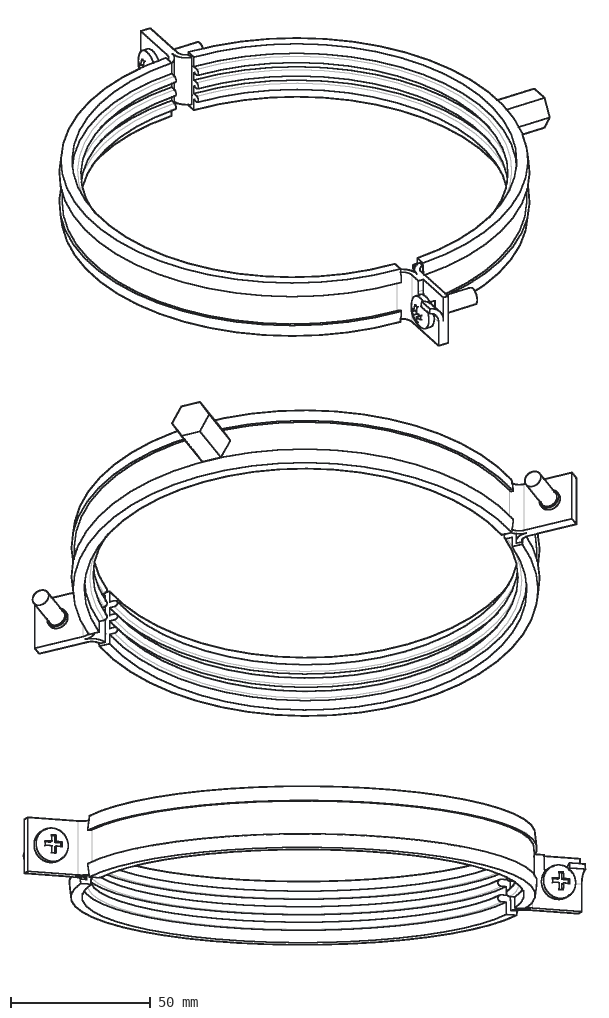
import cadquery as cq
import math

length = 210.0
depth = 185.8
height = 22.9

ring_offset = 0.8
band_outer_radius = 82.3
band_thickness = 2.0
band_half_width = 9.9
bend_radius = 4.0
band_inner_radius = band_outer_radius - band_thickness
bend_end_y = band_thickness + bend_radius
bend_center_x = math.sqrt(band_outer_radius**2 - (bend_end_y - ring_offset)**2) + bend_radius

lip_radius = 83.4
lip_edge_radius = 82.7
channel_half_width = 6.0
liner_wide_side = height / 2
liner_narrow_side = 11.0
liner_inner_radius = 78.8
liner_end_y = 4.6
rib_tip_radius = 75.5
rib_nose_radius = 1.3
rib_spacing = 5.7
rib_nose_center = rib_tip_radius + rib_nose_radius

screw_positions = (-96.5, 95.8)
shank_diameter = 6.3
shank_end_y = 17.6
collar_diameter = 7.5
collar_end_y = 3.4
head_diameter = 12.2
head_edge_y = -4.2
head_top_y = -6.5
recess_span = 6.5
recess_arm_width = 1.7
recess_depth = 2.0

stub_across_flats = 12.5
stub_center_z = 1.0
stub_end_y = depth - lip_radius - ring_offset
stub_root_y = ring_offset + (band_inner_radius + band_outer_radius) / 2

slot_left_x = 90.7
slot_right_x = 99.1
slot_round_z = 5.5
tab_bend_z = 0.2
tab_bend_radius = 6.7
tab_bend_angle = 80.0


def half_space(side, start_y):
    """Block covering everything beyond start_y on the given side of the split plane."""
    size = 2 * length
    return cq.Workplane("XY").box(size, size, size).translate((0, side * (start_y + size / 2), 0))


def plate(outline):
    """Prism of the band width, centered on Z, from an XY outline."""
    return outline.extrude(band_half_width, both=True)


def half_band(side):
    """Half ring with its two bends and ears; side is +1 for +Y and -1 for -Y."""
    ring = plate(cq.Workplane("XY").circle(band_outer_radius).circle(band_inner_radius))
    band = ring.translate((0, ring_offset, 0)).intersect(half_space(1, bend_end_y))
    outer_bend = bend_radius + band_thickness
    diagonal = math.sqrt(0.5)
    ear_and_bend = plate(
        cq.Workplane("XY")
        .moveTo(length / 2, 0)
        .lineTo(bend_center_x, 0)
        .threePointArc(
            (bend_center_x - outer_bend * diagonal, bend_end_y - outer_bend * diagonal),
            (bend_center_x - outer_bend, bend_end_y),
        )
        .lineTo(bend_center_x - bend_radius, bend_end_y)
        .threePointArc(
            (bend_center_x - bend_radius * diagonal, bend_end_y - bend_radius * diagonal),
            (bend_center_x, band_thickness),
        )
        .lineTo(length / 2, band_thickness)
        .close()
    )
    band = band.union(ear_and_bend).union(ear_and_bend.mirror("YZ"))
    return band if side > 0 else band.mirror("XZ")


def half_liner(side):
    """Half ring of lining; the taller lip is at the top on -Y and at the bottom on +Y."""
    profile = (
        cq.Workplane("XZ")
        .moveTo(liner_inner_radius, -liner_narrow_side)
        .lineTo(lip_edge_radius, -liner_narrow_side)
        .lineTo(lip_radius, -channel_half_width)
        .lineTo(band_inner_radius, -channel_half_width)
        .lineTo(band_inner_radius, channel_half_width)
        .lineTo(lip_radius, channel_half_width)
        .lineTo(lip_edge_radius, liner_wide_side)
        .lineTo(liner_inner_radius, liner_wide_side)
        .close()
    )
    liner = profile.revolve(360, (0, 0, 0), (0, 1, 0))
    rib_root = (liner_inner_radius + band_inner_radius) / 2
    for index in (-1, 0, 1):
        rib_z = index * rib_spacing
        rib = (
            cq.Workplane("XZ")
            .moveTo(rib_root, rib_z - rib_nose_radius)
            .lineTo(rib_nose_center, rib_z - rib_nose_radius)
            .threePointArc((rib_tip_radius, rib_z), (rib_nose_center, rib_z + rib_nose_radius))
            .lineTo(rib_root, rib_z + rib_nose_radius)
            .close()
            .revolve(360, (0, 0, 0), (0, 1, 0))
        )
        liner = liner.union(rib)
    if side > 0:
        liner = liner.mirror("XY")
    liner = liner.translate((0, side * ring_offset, 0))
    return liner.intersect(half_space(side, liner_end_y))


def cut_slot(band):
    """Cut the round-bottomed slot, and all of the ear corner above the tab bend."""
    slot_center_x = (slot_left_x + slot_right_x) / 2
    slot_radius = (slot_right_x - slot_left_x) / 2
    slot = (
        cq.Workplane("XZ")
        .moveTo(slot_left_x, band_half_width)
        .lineTo(slot_left_x, slot_round_z)
        .threePointArc((slot_center_x, slot_round_z - slot_radius), (slot_right_x, slot_round_z))
        .lineTo(slot_right_x, tab_bend_z)
        .lineTo(length / 2, tab_bend_z)
        .lineTo(length / 2, band_half_width)
        .close()
        .extrude(band_thickness)
    )
    return band.cut(slot)


def curled_tab():
    """Tab that curls up and forward out of the front ear, beside the slot."""
    center_y = -tab_bend_radius
    inner_radius = tab_bend_radius - band_thickness
    bend = math.radians(tab_bend_angle)

    def on_bend(radius, angle):
        y = center_y + radius * math.cos(angle)
        z = tab_bend_z + radius * math.sin(angle)
        return (y, z)

    return (
        cq.Workplane("YZ", origin=(slot_right_x, 0, 0))
        .moveTo(*on_bend(tab_bend_radius, 0))
        .threePointArc(on_bend(tab_bend_radius, bend / 2), on_bend(tab_bend_radius, bend))
        .lineTo(*on_bend(inner_radius, bend))
        .threePointArc(on_bend(inner_radius, bend / 2), on_bend(inner_radius, 0))
        .close()
        .extrude(length / 2 - slot_right_x)
    )


def screw(x):
    """Domed cross-recess screw along Y, with a collar behind the ears."""
    head_radius = head_diameter / 2
    dome_height = head_edge_y - head_top_y
    dome_radius = (head_radius**2 + dome_height**2) / (2 * dome_height)
    mid_radius = head_radius / 2
    mid_y = head_top_y + dome_radius - math.sqrt(dome_radius**2 - mid_radius**2)
    body = (
        cq.Workplane("XY")
        .moveTo(0, head_top_y)
        .threePointArc((mid_radius, mid_y), (head_radius, head_edge_y))
        .lineTo(head_radius, -band_thickness)
        .lineTo(shank_diameter / 2, -band_thickness)
        .lineTo(shank_diameter / 2, band_thickness)
        .lineTo(collar_diameter / 2, band_thickness)
        .lineTo(collar_diameter / 2, collar_end_y)
        .lineTo(shank_diameter / 2, collar_end_y)
        .lineTo(shank_diameter / 2, shank_end_y)
        .lineTo(0, shank_end_y)
        .close()
        .revolve(360, (0, 0, 0), (0, 1, 0))
    )
    recess = (
        cq.Workplane("XZ", origin=(0, head_top_y + recess_depth, 0))
        .rect(recess_span, recess_arm_width)
        .extrude(recess_depth)
    )
    body = body.cut(recess).cut(recess.rotate((0, 0, 0), (0, 1, 0), 90))
    return body.translate((x, 0, 0))


def mounting_stub():
    """Hexagonal stub standing on the +Y half of the band, corners toward X."""
    across_corners = stub_across_flats / math.cos(math.radians(30))
    return (
        cq.Workplane("XZ", origin=(0, stub_end_y, stub_center_z))
        .polygon(6, across_corners)
        .extrude(stub_end_y - stub_root_y)
    )


front_band = cut_slot(half_band(-1)).union(curled_tab())
result = front_band.union(half_band(1))
for liner_side in (-1, 1):
    result = result.union(half_liner(liner_side))
for screw_x in screw_positions:
    result = result.union(screw(screw_x))
result = result.union(mounting_stub())